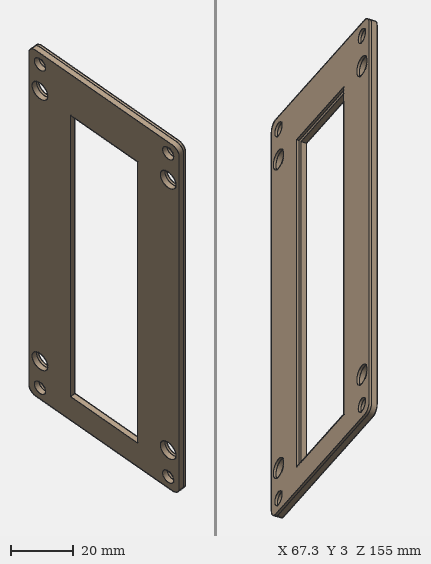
import cadquery as cq

width = 67.3
height = 155.0
corner_radius = 3.1

total_thickness = 3.0
back_thickness = 1.0
front_thickness = total_thickness - back_thickness
front_face_y = -total_thickness / 2
joint_y = front_face_y + front_thickness

hole_spacing_x = 57.4
small_hole_diameter = 5.0
small_hole_spacing_z = 145.0
large_hole_diameter = 7.0
large_hole_spacing_z = 121.2

window_width = 29.9
window_height = 126.0
window_center_z = -3.9
back_window_clearance = 1.2


def box_from(face_y, size_x, thickness, size_z):
    """Block centred on X and Z that extends toward +Y from face_y."""
    return cq.Workplane("XY").box(size_x, thickness, size_z).translate((0, face_y + thickness / 2, 0))


def cut_holes(plate, diameter, spacing_z):
    """Cut one hole near each of the four corners."""
    holes = (
        cq.Workplane("XZ")
        .rarray(hole_spacing_x, spacing_z, 2, 2)
        .circle(diameter / 2)
        .extrude(total_thickness, both=True)
    )
    return plate.cut(holes)


def make_plate(face_y, thickness, window_clearance):
    """Rounded plate with its holes and its window."""
    plate = box_from(face_y, width, thickness, height).edges("|Y").fillet(corner_radius)
    plate = cut_holes(plate, small_hole_diameter, small_hole_spacing_z)
    plate = cut_holes(plate, large_hole_diameter, large_hole_spacing_z)
    window = box_from(
        face_y,
        window_width + 2 * window_clearance,
        thickness,
        window_height + 2 * window_clearance,
    ).translate((0, 0, window_center_z))
    return plate.cut(window)


front_plate = make_plate(front_face_y, front_thickness, 0)
back_plate = make_plate(joint_y, back_thickness, back_window_clearance)

result = cq.Compound.makeCompound([front_plate.val(), back_plate.val()])